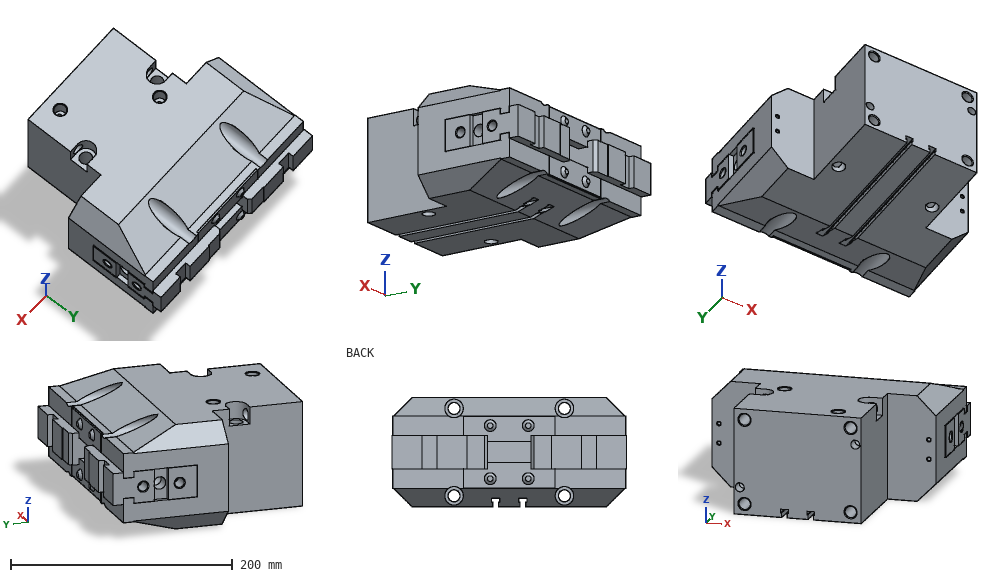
import cadquery as cq
import math


DRILL_ANGLE = 118.0

LENGTH = 212.0
DEPTH = 196.0
HEIGHT = 99.0
HALF_HEIGHT = HEIGHT / 2

STEM_WIDTH = 119.5
HEAD_WIDTH = 210.3
HEAD_BACK = 86.0
HEAD_FRONT = 176.2
CORNER_CHAMFER = 17.5
SLOPE_START = 130.4
SLOPE_ANGLE = 20.0
PLATE_FRONT = 186.1
PLATE_HALF_HEIGHT = HALF_HEIGHT - (HEAD_FRONT - SLOPE_START) * math.tan(math.radians(SLOPE_ANGLE))

RECESS_WIDTH = 82.7
RECESS_DEPTH = 0.6
LEDGE_DEPTH = 2.3
LEDGE_DROP = 0.6

STUD_X = 17.2
STUD_Z = 24.0
STUD_BASE_RADIUS = 5.3
STUD_TIP_RADIUS = 2.5
STUD_HEIGHT = 2.3

MOUNT_X = 49.8
MOUNT_Z = 39.5
MOUNT_DIAMETER = 10.5
MOUNT_MOUTH_DIAMETER = 12.3
BORE_DIAMETER = 16.7
BORE_START = 127.2
CROSS_Y = 60.0
CROSS_DIAMETER = 12.3
POCKET_WIDTH = 19.5
POCKET_DEPTH = 16.1

DOWEL_X = 54.3
DOWEL_Z = 24.2
DOWEL_DIAMETER = 8.3
DOWEL_DEPTH = 12.7

SCREW_X = 98.5
SCREW_Z = 9.1
SCREW_DIAMETER = 3.0
SCREW_MOUTH_DIAMETER = 4.2
SCREW_DEPTH = 10.5

PORTS = [(-34.1, 76.3, -0.5), (33.7, 16.1, -1.0)]
PORT_DIAMETER = 11.7
PORT_MOUTH_DIAMETER = 13.1
PORT_DEPTH = 14.8
FEED_DIAMETER = 4.2
FEED_DEPTH = 6.4

SENSOR_X = 12.3
SENSOR_NECK_WIDTH = 5.0
SENSOR_WIDTH = 7.2
SENSOR_NECK_DEPTH = 4.5
SENSOR_DEPTH = 7.8

JAW_INNER = 19.5
JAW_BACK = 116.0
JAW_HALF_HEIGHT = 15.0
JAW_NECK_HALF_HEIGHT = 9.5
JAW_STEP_X = 38.2
JAW_STEP = 0.8
JAW_CHAMFER = 3.0
KEYWAY_WIDTH = 13.8
KEYWAY_X = 72.0
KEYWAY_DEPTH = 5.3
SIDE_KEYWAY_Y = 150.0
SIDE_KEYWAY_DEPTH = 5.3
JAW_SCREW_SPACING = 34.8
JAW_SCREW_DIAMETER = 9.0
JAW_SCREW_MOUTH_DIAMETER = 10.5
JAW_SCREW_DEPTH = 17.0
JAW_CENTER_DIAMETER = 11.7
JAW_CENTER_DEPTH = 12.7


def box(x_range, y_range, z_range):
    """Box between the given pairs of limits."""
    low, high = zip(x_range, y_range, z_range)
    size = [b - a for a, b in zip(low, high)]
    return cq.Workplane("XY").box(*size, centered=False).translate(low)


def rod(start, direction, diameter, length):
    """Cylinder from a start point along a direction."""
    return cq.Workplane(cq.Solid.makeCylinder(diameter / 2, length, cq.Vector(*start), cq.Vector(*direction)))


def blind_hole(start, direction, diameter, depth):
    """Drilled hole whose floor is the cone left by the drill point."""
    point_length = diameter / 2 / math.tan(math.radians(DRILL_ANGLE / 2))
    floor = cq.Vector(*start) + cq.Vector(*direction) * depth
    point = cq.Solid.makeCone(diameter / 2, 0, point_length, floor, cq.Vector(*direction))
    return rod(start, direction, diameter, depth).union(cq.Workplane(point))


def mouth_chamfer(start, direction, diameter, mouth_diameter):
    """Cone that chamfers the mouth of a hole at 45 degrees."""
    length = (mouth_diameter - diameter) / 2
    cone = cq.Solid.makeCone(
        mouth_diameter / 2, diameter / 2, length, cq.Vector(*start), cq.Vector(*direction)
    )
    return cq.Workplane(cone)


def screw_hole(start, direction, diameter, depth, mouth_diameter):
    """Blind hole with a chamfered mouth."""
    mouth = mouth_chamfer(start, direction, diameter, mouth_diameter)
    return blind_hole(start, direction, diameter, depth).union(mouth)


def housing_block():
    """Stem and head with its chamfered corners and sloped top and bottom, and the end plate."""
    stem = box(
        (-STEM_WIDTH / 2, STEM_WIDTH / 2), (0, HEAD_FRONT), (-HALF_HEIGHT, HALF_HEIGHT)
    )
    head = (
        box((-HEAD_WIDTH / 2, HEAD_WIDTH / 2), (HEAD_BACK, HEAD_FRONT), (-HALF_HEIGHT, HALF_HEIGHT))
        .edges("|Y")
        .chamfer(CORNER_CHAMFER)
    )
    side_outline = [
        (0, -HALF_HEIGHT),
        (SLOPE_START, -HALF_HEIGHT),
        (HEAD_FRONT, -PLATE_HALF_HEIGHT),
        (HEAD_FRONT, PLATE_HALF_HEIGHT),
        (SLOPE_START, HALF_HEIGHT),
        (0, HALF_HEIGHT),
    ]
    wedge = cq.Workplane("YZ").polyline(side_outline).close().extrude(HEAD_WIDTH / 2, both=True)
    plate = box(
        (-HEAD_WIDTH / 2, HEAD_WIDTH / 2),
        (HEAD_FRONT, PLATE_FRONT),
        (-PLATE_HALF_HEIGHT, PLATE_HALF_HEIGHT),
    )
    return stem.union(head).intersect(wedge).union(plate)


def plate_recess():
    """Shallow recess in the plate front, with a lowered ledge along its upper and lower edge."""
    half_width = RECESS_WIDTH / 2
    recess = box(
        (-half_width, half_width),
        (PLATE_FRONT - RECESS_DEPTH, PLATE_FRONT),
        (-PLATE_HALF_HEIGHT, PLATE_HALF_HEIGHT),
    )
    ledge = box(
        (-half_width, half_width),
        (PLATE_FRONT - LEDGE_DEPTH, PLATE_FRONT),
        (PLATE_HALF_HEIGHT - LEDGE_DROP, PLATE_HALF_HEIGHT),
    )
    return recess.union(ledge).union(ledge.mirror("XY"))


def studs():
    """Four cone-shaped studs that stand on the recess floor."""
    base_y = PLATE_FRONT - RECESS_DEPTH
    height = STUD_HEIGHT + RECESS_DEPTH
    return [
        cq.Solid.makeCone(
            STUD_BASE_RADIUS, STUD_TIP_RADIUS, height, cq.Vector(x, base_y, z), cq.Vector(0, 1, 0)
        )
        for x in (-STUD_X, STUD_X)
        for z in (-STUD_Z, STUD_Z)
    ]


def mount_hole(x, z):
    """Hole through the housing along Y, bored wider in the sloped front."""
    through = rod((x, 0, z), (0, 1, 0), MOUNT_DIAMETER, DEPTH)
    mouth = mouth_chamfer((x, 0, z), (0, 1, 0), MOUNT_DIAMETER, MOUNT_MOUTH_DIAMETER)
    bore = rod((x, BORE_START, z), (0, 1, 0), BORE_DIAMETER, DEPTH - BORE_START)
    return through.union(mouth).union(bore)


def cross_hole(side):
    """Hole through the stem along Z, with a round-ended pocket open to the stem's side."""
    x = side * MOUNT_X
    floor_z = HALF_HEIGHT - POCKET_DEPTH
    through = rod((x, CROSS_Y, -HALF_HEIGHT), (0, 0, 1), CROSS_DIAMETER, HEIGHT)
    round_end = rod((x, CROSS_Y, floor_z), (0, 0, 1), POCKET_WIDTH, POCKET_DEPTH)
    open_end = box(
        sorted((x, side * STEM_WIDTH / 2)),
        (CROSS_Y - POCKET_WIDTH / 2, CROSS_Y + POCKET_WIDTH / 2),
        (floor_z, HALF_HEIGHT),
    )
    return through.union(round_end).union(open_end)


def air_port(x, y, feed_offset):
    """Blind port in the top with a smaller feed hole in its floor."""
    start = (x, y, HALF_HEIGHT)
    down = (0, 0, -1)
    port = rod(start, down, PORT_DIAMETER, PORT_DEPTH)
    mouth = mouth_chamfer(start, down, PORT_DIAMETER, PORT_MOUTH_DIAMETER)
    feed_start = (x, y + feed_offset, HALF_HEIGHT - PORT_DEPTH)
    return port.union(mouth).union(blind_hole(feed_start, down, FEED_DIAMETER, FEED_DEPTH))


def sensor_slot(x):
    """T-shaped slot along the whole bottom."""
    neck_top = SENSOR_NECK_DEPTH - HALF_HEIGHT
    neck = box(
        (x - SENSOR_NECK_WIDTH / 2, x + SENSOR_NECK_WIDTH / 2), (0, DEPTH), (-HALF_HEIGHT, neck_top)
    )
    wide = box(
        (x - SENSOR_WIDTH / 2, x + SENSOR_WIDTH / 2), (0, DEPTH), (neck_top, SENSOR_DEPTH - HALF_HEIGHT)
    )
    return neck.union(wide)


def jaw_rail(x_start, x_end):
    """Bar along X with the jaw's section: a foot, a neck between the plate halves, and a front."""
    foot = box((x_start, x_end), (JAW_BACK, HEAD_FRONT), (-JAW_HALF_HEIGHT, JAW_HALF_HEIGHT))
    neck = box(
        (x_start, x_end), (HEAD_FRONT, PLATE_FRONT), (-JAW_NECK_HALF_HEIGHT, JAW_NECK_HALF_HEIGHT)
    )
    front = box((x_start, x_end), (PLATE_FRONT, DEPTH), (-JAW_HALF_HEIGHT, JAW_HALF_HEIGHT))
    return foot.union(neck).union(front)


def make_housing():
    body = housing_block().cut(plate_recess())
    for stud in studs():
        body = body.union(cq.Workplane(stud))
    body = body.cut(jaw_rail(-LENGTH / 2, LENGTH / 2))
    for side in (-1, 1):
        body = body.cut(cross_hole(side)).cut(sensor_slot(side * SENSOR_X))
        dowel_start = (side * DOWEL_X, 0, side * DOWEL_Z)
        body = body.cut(blind_hole(dowel_start, (0, 1, 0), DOWEL_DIAMETER, DOWEL_DEPTH))
        for level in (-1, 1):
            body = body.cut(mount_hole(side * MOUNT_X, level * MOUNT_Z))
            screw_start = (side * SCREW_X, HEAD_BACK, level * SCREW_Z)
            body = body.cut(
                screw_hole(screw_start, (0, 1, 0), SCREW_DIAMETER, SCREW_DEPTH, SCREW_MOUTH_DIAMETER)
            )
    for port in PORTS:
        body = body.cut(air_port(*port))
    return body


def make_left_jaw():
    """Jaw at the -X end."""
    outer_x = -LENGTH / 2
    full_height = (-JAW_HALF_HEIGHT, JAW_HALF_HEIGHT)
    jaw = jaw_rail(outer_x, -JAW_INNER)
    jaw = jaw.cut(box((-JAW_STEP_X, -JAW_INNER), (DEPTH - JAW_STEP, DEPTH), full_height))
    front_inner_edge = cq.selectors.NearestToPointSelector((-JAW_INNER, DEPTH - JAW_STEP, 0))
    jaw = jaw.edges(front_inner_edge).chamfer(JAW_CHAMFER)

    front_keyway = box(
        (-KEYWAY_X - KEYWAY_WIDTH / 2, -KEYWAY_X + KEYWAY_WIDTH / 2),
        (DEPTH - KEYWAY_DEPTH, DEPTH),
        full_height,
    )
    side_keyway = box(
        (outer_x, outer_x + SIDE_KEYWAY_DEPTH),
        (SIDE_KEYWAY_Y - KEYWAY_WIDTH / 2, SIDE_KEYWAY_Y + KEYWAY_WIDTH / 2),
        full_height,
    )
    jaw = jaw.cut(front_keyway).cut(side_keyway)

    center_start = (outer_x + SIDE_KEYWAY_DEPTH, SIDE_KEYWAY_Y, 0)
    jaw = jaw.cut(blind_hole(center_start, (1, 0, 0), JAW_CENTER_DIAMETER, JAW_CENTER_DEPTH))
    for side in (-1, 1):
        start = (outer_x, SIDE_KEYWAY_Y + side * JAW_SCREW_SPACING / 2, 0)
        jaw = jaw.cut(
            screw_hole(start, (1, 0, 0), JAW_SCREW_DIAMETER, JAW_SCREW_DEPTH, JAW_SCREW_MOUTH_DIAMETER)
        )
    return jaw


housing = make_housing()
left_jaw = make_left_jaw()
right_jaw = left_jaw.mirror("YZ")

result = cq.Compound.makeCompound([housing.val(), left_jaw.val(), right_jaw.val()])